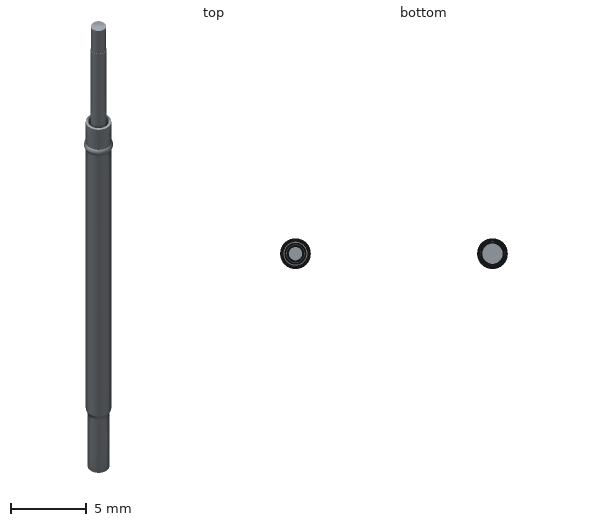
import cadquery as cq
import math

total_height = 38.35
barrel_top = 30.03
bead_height = 28.05
barrel_bottom = 5.02
tail_top = 4.68

barrel_diameter = 1.7
bead_diameter = 1.9
bead_width = 0.5
tail_diameter = 1.45
mouth_diameter = 1.35
mouth_depth = 1.15
socket_depth = 3.85

stem_diameter = 1.05
tip_diameter = 1.0
tip_length = 2.0


def cylinder(diameter, bottom, top):
    """Upright cylinder on the Z axis between two heights."""
    return cq.Workplane("XY").workplane(offset=bottom).circle(diameter / 2).extrude(top - bottom)


def make_bead():
    """Rounded ring: one circular arc in section, divided into two faces at its crown."""
    half_width = bead_width / 2
    barrel_radius = barrel_diameter / 2
    crown_radius = bead_diameter / 2
    rise = crown_radius - barrel_radius
    arc_radius = (half_width**2 + rise**2) / (2 * rise)
    quarter_angle = math.asin(half_width / arc_radius) / 2
    mid_radius = crown_radius - arc_radius * (1 - math.cos(quarter_angle))
    mid_offset = arc_radius * math.sin(quarter_angle)
    return (
        cq.Workplane("XZ")
        .moveTo(0, bead_height - half_width)
        .lineTo(barrel_radius, bead_height - half_width)
        .threePointArc((mid_radius, bead_height - mid_offset), (crown_radius, bead_height))
        .threePointArc((mid_radius, bead_height + mid_offset), (barrel_radius, bead_height + half_width))
        .lineTo(0, bead_height + half_width)
        .close()
        .revolve(360, (0, 0, 0), (0, 1, 0))
    )


def make_barrel():
    """Beaded barrel with a tapered neck, a tail and a stepped socket for the plunger."""
    tail = cylinder(tail_diameter, 0, tail_top)
    neck = (
        cq.Workplane("XY")
        .workplane(offset=tail_top)
        .circle(tail_diameter / 2)
        .workplane(offset=barrel_bottom - tail_top)
        .circle(barrel_diameter / 2)
        .loft(ruled=True)
    )
    tube = cylinder(barrel_diameter, barrel_bottom, barrel_top)
    mouth = cylinder(mouth_diameter, barrel_top - mouth_depth, barrel_top)
    socket = cylinder(stem_diameter, barrel_top - socket_depth, barrel_top)
    return tube.union(neck).union(tail).union(make_bead()).cut(mouth).cut(socket)


def make_plunger():
    """Round stem seated in the barrel socket, with a slightly thinner tip."""
    tip_bottom = total_height - tip_length
    stem = cylinder(stem_diameter, barrel_top - socket_depth, tip_bottom)
    tip = cylinder(tip_diameter, tip_bottom, total_height)
    return stem.union(tip)


barrel = make_barrel()
plunger = make_plunger()
result = cq.Compound.makeCompound([barrel.val(), plunger.val()])